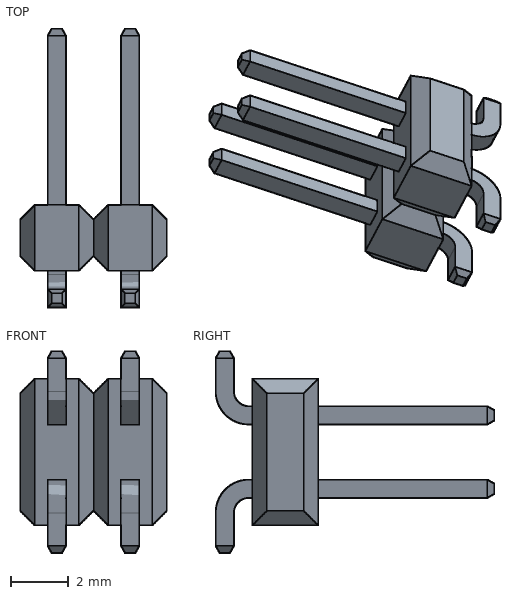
import cadquery as cq

pitch = 2.54
columns = 2
block_depth = 2.286
block_chamfer = 0.508

pin_width = 0.64
pin_tip_length = 0.25
pin_tip_width = 0.36
bend_inner_radius = 0.51
mating_length = 6.096
foot_projection = 1.27
overall_height = 6.99

block_height = 2 * pitch
half_pin = pin_width / 2
row_z = pitch / 2
block_front = -block_depth / 2
block_back = block_depth / 2
foot_outer_y = block_front - foot_projection
foot_inner_y = foot_outer_y + pin_width
foot_center_y = foot_outer_y + half_pin
bend_outer_radius = bend_inner_radius + pin_width
bend_start_y = foot_outer_y + bend_outer_radius
bend_end_z = row_z - half_pin + bend_outer_radius
foot_shoulder_z = overall_height / 2 - pin_tip_length
pin_shoulder_y = block_back + mating_length - pin_tip_length


def make_block(x):
    """Block centred at x, chamfered around both of its X-facing sides."""
    block = cq.Workplane("XY").box(pitch, block_depth, block_height)
    block = block.faces("<X or >X").edges().chamfer(block_chamfer)
    return block.translate((x, 0, 0))


def make_tip(plane):
    """Square tip tapering along the plane normal."""
    return (
        cq.Workplane(plane)
        .rect(pin_width, pin_width)
        .workplane(offset=pin_tip_length)
        .rect(pin_tip_width, pin_tip_width)
        .loft(ruled=True)
    )


def make_upper_pin(x):
    """Pin along Y in the upper row, with its foot bent toward +Z."""
    shaft_bottom = row_z - half_pin
    shaft_top = row_z + half_pin
    bar = (
        cq.Workplane("YZ", origin=(x - half_pin, 0, 0))
        .moveTo(pin_shoulder_y, shaft_top)
        .lineTo(bend_start_y, shaft_top)
        .radiusArc((foot_inner_y, bend_end_z), bend_inner_radius)
        .lineTo(foot_inner_y, foot_shoulder_z)
        .lineTo(foot_outer_y, foot_shoulder_z)
        .lineTo(foot_outer_y, bend_end_z)
        .radiusArc((bend_start_y, shaft_bottom), -bend_outer_radius)
        .lineTo(pin_shoulder_y, shaft_bottom)
        .close()
        .extrude(pin_width)
    )
    mating_tip = make_tip(cq.Plane((x, pin_shoulder_y, row_z), (1, 0, 0), (0, 1, 0)))
    foot_tip = make_tip(cq.Plane((x, foot_center_y, foot_shoulder_z), (1, 0, 0), (0, 0, 1)))
    return bar.union(mating_tip).union(foot_tip)


first_column_x = -(columns - 1) * pitch / 2

result = cq.Workplane("XY")
for column in range(columns):
    column_x = first_column_x + column * pitch
    upper_pin = make_upper_pin(column_x)
    lower_pin = upper_pin.mirror("XY")
    result = result.add(make_block(column_x)).add(upper_pin).add(lower_pin)
result = result.combine()